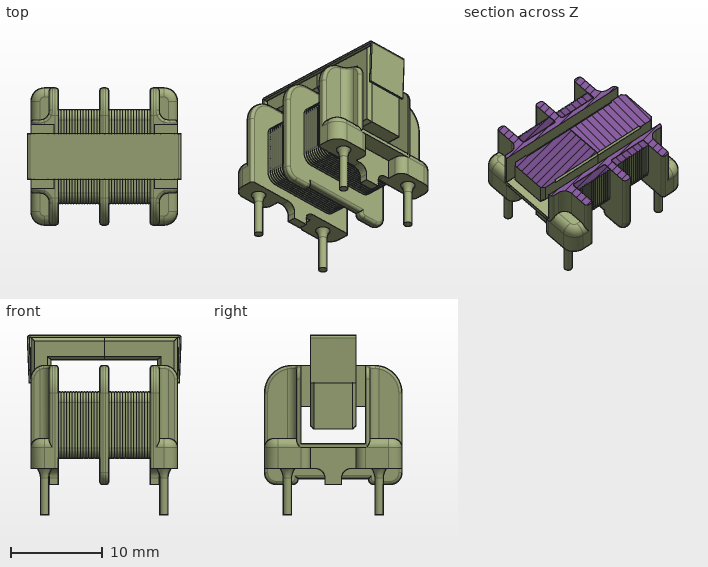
import cadquery as cq
import math


flange_half_width = 7.5
flange_top = 11.25
flange_top_radius = 3.0
flange_thickness = 1.0
rim_radius = 0.35
flange_gap = 4.5

end_half_length = 8.0
channel_half_width = 3.5
channel_back_thickness = 0.5
arm_thickness = 0.5
arm_top_radius = 1.5
arm_root_radius = 1.0

foot_height = 3.28
foot_corner_radius = 1.5
foot_top_radius = 1.0
recess_half_width = 2.5
recess_edge_radius = 1.0
ledge_bottom = 2.28
ledge_top = 2.73
tab_half_width = 0.9
tab_root_radius = 1.05
underside_depth = 1.75

middle_corner_radius = 1.3
notch_half_width = 3.83
notch_height = 0.62
notch_corner_radius = 0.6

core_length = 16.0
core_height = 10.0
core_width = 5.0
core_bottom = 4.3
core_bar_height = 2.45
core_leg_thickness = 2.2
core_chamfer = 0.38

turns = 15
winding_half_width = 5.15
winding_height = 7.28
winding_corner_radius = 1.17
winding_thickness = 1.0

clip_half_length = 8.407
clip_thickness = 0.25
clip_tip_thickness = 0.2
clip_leg_bottom = 9.35
clip_bend_radius = 0.3

pin_diameter = 0.92
pin_bottom = -5.05
pin_collar_diameter = 1.6
pin_collar_height = 1.05
pin_half_pitch_x = 6.5
pin_half_pitch_y = 5.0

flange_inner = flange_thickness / 2 + flange_gap
flange_outer = flange_inner + flange_thickness
channel_back = flange_inner + channel_back_thickness
arm_outer = channel_half_width + arm_thickness
core_top = core_bottom + core_height
tunnel_top = core_bottom + core_bar_height
tunnel_center = (ledge_top + tunnel_top) / 2
turn_pitch = flange_gap / turns
tube_half_width = winding_half_width - winding_thickness
tube_height = winding_height - 2 * winding_thickness
tube_corner_radius = winding_corner_radius - winding_thickness
tolerance = 1e-3


def box(x_range, y_range, z_range):
    """Axis-aligned block between the given limits."""
    size = [high - low for low, high in (x_range, y_range, z_range)]
    corner = (x_range[0], y_range[0], z_range[0])
    return cq.Workplane("XY").box(*size, centered=False).translate(corner)


def on_outer_wall(point):
    """True where a point lies on the wall of flange and arm that faces away from the channel."""
    x, y = point.x, abs(point.y)
    root_x = flange_outer + arm_root_radius
    root_y = arm_outer + arm_root_radius
    on_flange = abs(x - flange_outer) < tolerance and y > root_y - tolerance
    on_arm = abs(y - arm_outer) < tolerance and x > root_x - tolerance
    from_root = math.hypot(x - root_x, y - root_y)
    on_root = x < root_x and y < root_y and abs(from_root - arm_root_radius) < tolerance
    return on_flange or on_arm or on_root


def is_rim_edge(edge):
    """True for the edges to round: the outer rim of flange and arms, and the inner rim of the flange."""
    points = [edge.positionAt(t) for t in (0, 0.5, 1)]
    low, high = edge.BoundingBox().zmin, edge.BoundingBox().zmax
    if high < tolerance:
        return False
    if all(abs(p.x - flange_inner) < tolerance for p in points):
        return True
    if not all(on_outer_wall(p) for p in points):
        return False
    middle = points[1]
    on_free_end = middle.x > end_half_length - tolerance or abs(middle.y) > flange_half_width - tolerance
    return on_free_end or low > tolerance


def end_flange():
    """Flange with two arms that form the open channel, rounded along its rims."""
    half_plan = (
        cq.Workplane("XY")
        .moveTo(flange_inner, 0)
        .lineTo(flange_inner, flange_half_width)
        .lineTo(flange_outer, flange_half_width)
        .lineTo(flange_outer, arm_outer + arm_root_radius)
        .radiusArc((flange_outer + arm_root_radius, arm_outer), -arm_root_radius)
        .lineTo(end_half_length, arm_outer)
        .lineTo(end_half_length, channel_half_width)
        .lineTo(channel_back, channel_half_width)
        .lineTo(channel_back, 0)
        .close()
        .extrude(flange_top)
    )
    plan = half_plan.union(half_plan.mirror("XZ"))
    envelope = box((0, end_half_length), (-flange_half_width, flange_half_width), (0, flange_top))
    side_outline = envelope.edges("|X and >Z").fillet(flange_top_radius)
    arm_outline = envelope.edges("|Y and >Z and >X").fillet(arm_top_radius)
    body = plan.intersect(side_outline).intersect(arm_outline)
    rims = [edge for edge in body.edges().vals() if is_rim_edge(edge)]
    return body.newObject(rims).fillet(rim_radius)


def foot():
    """Foot at +Y: a domed block outside the arm, continued under the ledge up to the recess."""
    x_range = (flange_inner + rim_radius, end_half_length)
    domed_block = (
        box(x_range, (channel_half_width, flange_half_width), (0, foot_height))
        .edges("|Z and >X and >Y").fillet(foot_corner_radius)
        .faces(">Z").edges("not(<X or <Y)").fillet(foot_top_radius)
        .intersect(box(x_range, (arm_outer - rim_radius, flange_half_width), (0, foot_height)))
    )
    block_under_ledge = (
        box(x_range, (recess_half_width, arm_outer), (0, ledge_bottom))
        .edges("|Z and >X and <Y").fillet(recess_edge_radius)
    )
    return domed_block.union(block_under_ledge)


def tab():
    """Tab below the flange, with concave roots."""
    root = tab_half_width + tab_root_radius
    return (
        cq.Workplane("YZ", origin=(flange_inner, 0, 0))
        .moveTo(-root, ledge_bottom)
        .lineTo(-root, 0)
        .radiusArc((-tab_half_width, -tab_root_radius), tab_root_radius)
        .lineTo(-tab_half_width, -underside_depth)
        .lineTo(tab_half_width, -underside_depth)
        .lineTo(tab_half_width, -tab_root_radius)
        .radiusArc((root, 0), tab_root_radius)
        .lineTo(root, ledge_bottom)
        .close()
        .extrude(flange_thickness)
    )


def ledge():
    """Floor of the channel, overhanging the recess between the feet."""
    return box(
        (channel_back, end_half_length),
        (-arm_outer + rim_radius, arm_outer - rim_radius),
        (ledge_bottom, ledge_top),
    )


def wall_under_ledge():
    """Full-thickness part of the flange below the channel."""
    return box((flange_inner, flange_outer), (-arm_outer, arm_outer), (0, ledge_top))


def bobbin_end():
    """Everything at the +X end of the bobbin."""
    one_foot = foot()
    return (
        end_flange()
        .union(one_foot)
        .union(one_foot.mirror("XZ"))
        .union(wall_under_ledge())
        .union(ledge())
        .union(tab())
    )


def middle_flange():
    """Flange between the windings, notched along its bottom edge, with rounded rims."""
    height = flange_top + underside_depth
    plate = (
        cq.Workplane("YZ", origin=(-flange_thickness / 2, 0, (flange_top - underside_depth) / 2))
        .rect(2 * flange_half_width, height)
        .extrude(flange_thickness)
        .edges("|X and >Z").fillet(flange_top_radius)
        .edges("|X and <Z").fillet(middle_corner_radius)
    )
    notch = box(
        (-flange_thickness, flange_thickness),
        (-notch_half_width, notch_half_width),
        (-underside_depth, -underside_depth + notch_height),
    )
    notch_corners = cq.selectors.BoxSelector(
        (-flange_thickness, -notch_half_width - tolerance, -underside_depth - tolerance),
        (flange_thickness, notch_half_width + tolerance, -underside_depth + tolerance),
    )
    plate = plate.cut(notch).edges(notch_corners).edges("|X").fillet(notch_corner_radius)
    return plate.faces("<X or >X").edges().fillet(rim_radius)


def winding_tube():
    """Rounded tube that carries the windings, solid until the tunnel is cut."""
    return (
        cq.Workplane("YZ", origin=(-flange_inner, 0, tunnel_center))
        .rect(2 * tube_half_width, tube_height)
        .extrude(2 * flange_inner)
        .edges("|X").fillet(tube_corner_radius)
    )


def bobbin_body():
    """Both ends, the tube and the middle flange, with the tunnel cut through from end to end."""
    end = bobbin_end()
    tunnel = box(
        (-channel_back, channel_back),
        (-channel_half_width, channel_half_width),
        (ledge_top, tunnel_top),
    )
    return (
        winding_tube()
        .union(middle_flange())
        .union(end)
        .union(end.mirror("YZ"))
        .cut(tunnel)
    )


def winding(x_start):
    """Sleeve around the tube whose outside shows each turn as a half-round ridge."""
    tube_top = tunnel_center + tube_height / 2
    ridge_root = tube_top + winding_thickness - turn_pitch / 2
    profile = (
        cq.Workplane("XZ")
        .moveTo(x_start, tube_top)
        .lineTo(x_start, ridge_root)
    )
    for turn in range(turns):
        ridge_start = x_start + turn * turn_pitch
        profile = profile.threePointArc(
            (ridge_start + turn_pitch / 2, ridge_root + turn_pitch / 2),
            (ridge_start + turn_pitch, ridge_root),
        )
    profile = profile.lineTo(x_start + flange_gap, tube_top).close()

    side = tube_half_width - tube_corner_radius
    half_height = tube_height / 2
    rise = half_height - tube_corner_radius
    path = (
        cq.Workplane("YZ", origin=(x_start, 0, tunnel_center))
        .moveTo(0, half_height)
        .lineTo(side, half_height)
        .radiusArc((tube_half_width, rise), tube_corner_radius)
        .lineTo(tube_half_width, -rise)
        .radiusArc((side, -half_height), tube_corner_radius)
        .lineTo(-side, -half_height)
        .radiusArc((-tube_half_width, -rise), tube_corner_radius)
        .lineTo(-tube_half_width, rise)
        .radiusArc((-side, half_height), tube_corner_radius)
        .close()
    )
    return profile.sweep(path)


def core_ring():
    """Closed rectangular core with chamfered edges around its front and back faces."""
    outer_x = core_length / 2
    inner_x = outer_x - core_leg_thickness
    y_range = (-core_width / 2, core_width / 2)
    ring = box((-outer_x, outer_x), y_range, (core_bottom, core_top))
    window = box(
        (-inner_x, inner_x),
        y_range,
        (core_bottom + core_bar_height, core_top - core_bar_height),
    )
    return ring.cut(window).faces("<Y or >Y").edges().chamfer(core_chamfer)


def core_half(side):
    """Half of the core on the given side (-1 or +1) of x = 0."""
    x_range = sorted((0, side * core_length / 2))
    return core_ring().intersect(
        box(x_range, (-core_width / 2, core_width / 2), (core_bottom, core_top))
    )


def clip_body():
    """Bent strip whose leg tips rest against the ends of the core."""
    top = core_top + clip_thickness
    tip_inner = core_length / 2
    tip_outer = tip_inner + clip_tip_thickness
    bend_inner = clip_half_length - clip_thickness
    right_side = [
        (clip_half_length, top),
        (tip_outer, clip_leg_bottom),
        (tip_inner, clip_leg_bottom),
        (bend_inner, core_top),
    ]
    left_side = [(-x, z) for x, z in reversed(right_side)]
    return (
        cq.Workplane("XZ", origin=(0, core_width / 2, 0))
        .polyline(right_side + left_side)
        .close()
        .extrude(core_width)
        .edges("|Y and >Z").fillet(clip_bend_radius)
    )


def pin(x, y):
    """Terminal at the given place, its collar flaring up to the foot."""
    radius = pin_diameter / 2
    spread = (pin_collar_diameter - pin_diameter) / 2
    flare_radius = (pin_collar_height**2 + spread**2) / (2 * spread)
    return (
        cq.Workplane("XZ")
        .moveTo(0, pin_bottom)
        .lineTo(radius, pin_bottom)
        .lineTo(radius, -pin_collar_height)
        .radiusArc((pin_collar_diameter / 2, 0), flare_radius)
        .lineTo(0, 0)
        .close()
        .revolve(360, (0, 0, 0), (0, 1, 0))
        .translate((x, y, 0))
    )


bobbin = bobbin_body()
windings = [winding(x_start) for x_start in (-flange_inner, flange_thickness / 2)]
core_halves = [core_half(side) for side in (-1, 1)]
clip = clip_body()
pins = [
    pin(x, y)
    for x in (-pin_half_pitch_x, pin_half_pitch_x)
    for y in (-pin_half_pitch_y, pin_half_pitch_y)
]

bodies = [bobbin, *windings, *core_halves, clip, *pins]
result = cq.Compound.makeCompound([body.solids().val() for body in bodies])